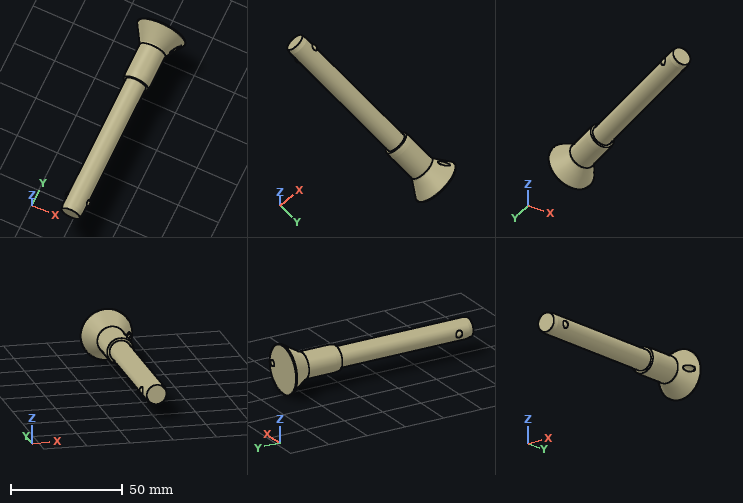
import cadquery as cq

length = 97.1
rim_diameter = 24.0
rim_thickness = 0.6
rim_chamfer = 0.3
flare_depth = 9.1
flare_end_radius = 6.8
collar_start = 10.0
collar_radius = 6.5
nose_start = 24.6
nose_middle = 26.1
nose_middle_radius = 6.4
collar_end = 27.6
nose_end_radius = 6.2
shaft_radius = 5.05
tip_radius = 4.6
tip_length = 2.3
ball_radius = 1.8
ball_reach = 6.0
ball_from_tip = 7.8
hole_diameter = 3.0
hole_offset = 9.1

rim_radius = rim_diameter / 2
back = length / 2
tip = -length / 2


def make_body():
    """Flared head, collar, shaft and tapered tip as one turned shape."""
    return (
        cq.Workplane("XY")
        .moveTo(0, back)
        .lineTo(rim_radius - rim_chamfer, back)
        .lineTo(rim_radius, back - rim_chamfer)
        .lineTo(rim_radius, back - rim_thickness)
        .lineTo(flare_end_radius, back - flare_depth)
        .lineTo(collar_radius, back - collar_start)
        .lineTo(collar_radius, back - nose_start)
        .lineTo(nose_middle_radius, back - nose_middle)
        .lineTo(nose_end_radius, back - collar_end)
        .lineTo(shaft_radius, back - collar_end)
        .lineTo(shaft_radius, tip + tip_length)
        .lineTo(tip_radius, tip)
        .lineTo(0, tip)
        .close()
        .revolve(360, (0, 0, 0), (0, 1, 0))
    )


def make_ball(side):
    """Locking ball that stands out of one side of the shaft."""
    center_x = side * (ball_reach - ball_radius)
    return cq.Workplane("XY").sphere(ball_radius).translate((center_x, tip + ball_from_tip, 0))


def make_lanyard_hole():
    """Cutter for the hole through the flare, parallel to the pin axis."""
    return (
        cq.Workplane("XZ", origin=(0, back, 0))
        .center(hole_offset, 0)
        .circle(hole_diameter / 2)
        .extrude(collar_end)
    )


result = make_body().cut(make_lanyard_hole())
for side in (-1, 1):
    result = result.union(make_ball(side))